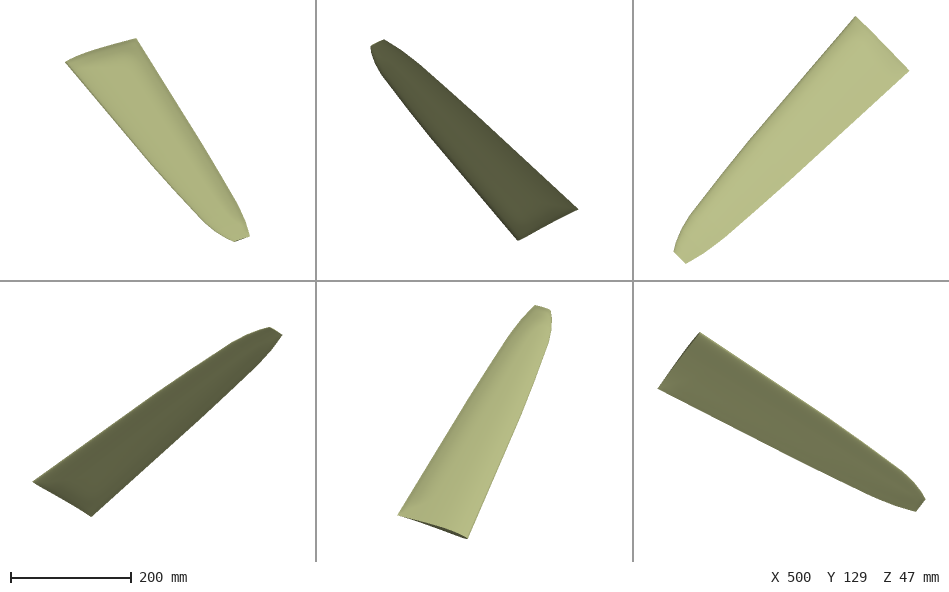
import cadquery as cq
import math

SPAN = 500.0
ROOT_CHORD = 129.0
DIHEDRAL = 5.0

CAMBER = 0.027
CAMBER_PLACE = 0.4
THICKNESS = 0.059
THICKNESS_PLACE = 0.24
FACETS = 72

STATIONS = [
    (0.0, 0.0, 0.0),
    (275.0, 32.0, 1.0),
    (348.0, 42.5, 2.5),
    (418.5, 54.0, 4.5),
    (437.0, 57.0, 6.0),
    (464.5, 65.0, 9.0),
    (486.5, 75.0, 13.5),
    (SPAN, 83.5, 16.5),
]


def camber_height(s):
    """Height of the mean line at chord fraction s (two parabolas joined at the crest)."""
    reach = CAMBER_PLACE if s < CAMBER_PLACE else 1 - CAMBER_PLACE
    return CAMBER * (1 - ((s - CAMBER_PLACE) / reach) ** 2)


def half_thickness(s):
    """Half thickness at chord fraction s: round at the nose, sharp at the trailing edge."""
    tail_power = 0.5 / THICKNESS_PLACE - 0.5
    peak = math.sqrt(THICKNESS_PLACE) * (1 - THICKNESS_PLACE) ** tail_power
    return THICKNESS / 2 * math.sqrt(s) * (1 - s) ** tail_power / peak


def airfoil_points():
    """Unit-chord outline from the trailing edge over the top to the nose and back underneath."""
    fractions = [i / FACETS for i in range(FACETS + 1)]
    upper = [(s, camber_height(s) + half_thickness(s)) for s in reversed(fractions)]
    lower = [(s, camber_height(s) - half_thickness(s)) for s in fractions[1:-1]]
    return upper + lower


def section_wire(x, leading_setback, trailing_setback):
    """Airfoil outline standing in the plane at X = x, raised by the dihedral."""
    leading_y = leading_setback - ROOT_CHORD
    chord = -trailing_setback - leading_y
    base_z = x * math.tan(math.radians(DIHEDRAL))
    corners = [cq.Vector(x, leading_y + s * chord, base_z + h * chord) for s, h in airfoil_points()]
    return cq.Wire.makePolygon(corners, close=True)


sections = [section_wire(*station) for station in STATIONS]
result = cq.Workplane(obj=cq.Solid.makeLoft(sections, True))